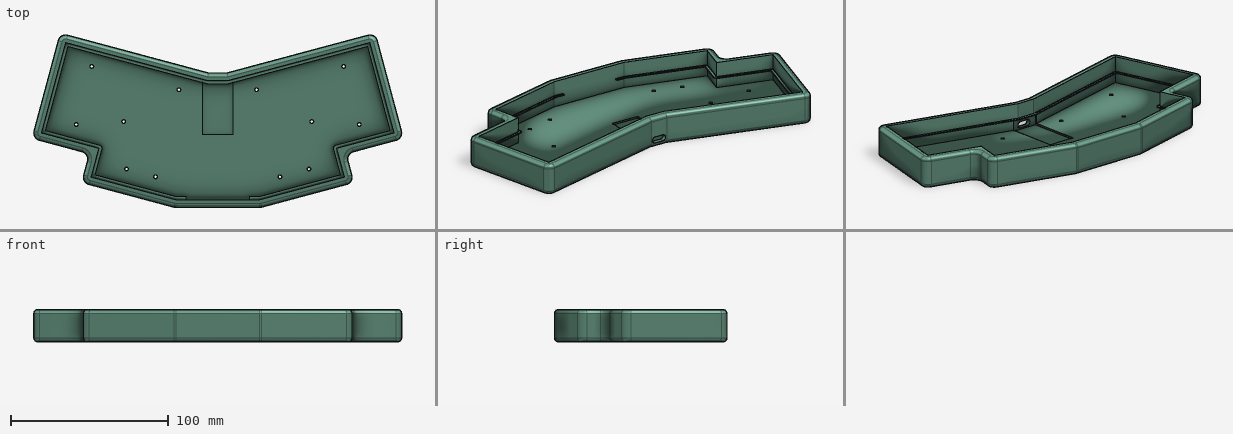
import cadquery as cq
import math

LENGTH = 233.5
DEPTH = 109.5
HEIGHT = 20.5
WING_ANGLE = 15.0
WALL = 5.0
NOTCH_RADIUS = 5.0
EDGE_RADIUS = 2.5
FLOOR_Z = 3.0

LIP_DEPTH = 2.0
LIP_THICKNESS = 0.5
LIP_TOP_Z = 10.7
LIP_GAP_WIDTH = 40.1

COS = math.cos(math.radians(WING_ANGLE))
SIN = math.sin(math.radians(WING_ANGLE))
WING_BACK = 23.0
WING_SHOULDER = -36.2
WING_FRONT = -55.0
NOTCH_SIDE = -68.4
WING_END = -(LENGTH / 2 - WALL + WING_SHOULDER * SIN) / COS

CENTRE_BACK_Y = 25.7
CENTRE_FRONT_Y = WING_BACK * COS - WING_END * SIN + 2 * WALL - DEPTH

HOLE_DIAMETER = 2.2
HOLE_SPAN = 57.2
HOLE_PITCH = HOLE_SPAN / 3
FIRST_HOLE = (-86.1, 12.8)
HOLE_GRID = [(0, 0), (3, 0), (1.5, 1.5), (0, 2), (2, 3), (3, 3)]

BAY_WIDTH = 19.1
BAY_BACK_Y = 27.5
BAY_FRONT_Y = -8.6
BAY_FLOOR_Z = 1.9
BAY_TOP_Z = LIP_TOP_Z - LIP_THICKNESS

PORT_WIDTH = 10.0
PORT_HEIGHT = 4.2
PORT_Z = 5.0


def wing_point(along, across):
    """Point of the left wing in part axes."""
    return (along * COS + across * SIN, across * COS - along * SIN)


def centre_corner(across, y):
    """Where a wing line meets the straight centre line at height y."""
    return ((across - y * COS) / SIN, y)


def cavity_outline():
    left = [
        centre_corner(WING_BACK, CENTRE_BACK_Y),
        wing_point(WING_END, WING_BACK),
        wing_point(WING_END, WING_SHOULDER),
        wing_point(NOTCH_SIDE, WING_SHOULDER),
        wing_point(NOTCH_SIDE, WING_FRONT),
        centre_corner(WING_FRONT, CENTRE_FRONT_Y),
    ]
    right = [(-x, y) for x, y in reversed(left)]
    return cq.Workplane("XY").polyline(left + right).close()


def block(width, back_y, front_y, bottom_z, top_z):
    """Box centred on X = 0."""
    return cq.Workplane("XY").box(
        width, back_y - front_y, top_z - bottom_z, centered=(True, False, False)
    ).translate((0, front_y, bottom_z))


def outer_body():
    body = cavity_outline().offset2D(WALL, "arc").extrude(HEIGHT)
    notch_x, notch_y = wing_point(NOTCH_SIDE - WALL, WING_SHOULDER - WALL)
    for x in (notch_x, -notch_x):
        corner = cq.selectors.NearestToPointSelector((x, notch_y, HEIGHT / 2))
        body = body.edges("|Z").edges(corner).fillet(NOTCH_RADIUS)
    return body.faces("<Z or >Z").edges().fillet(EDGE_RADIUS)


def lip():
    bottom_z = LIP_TOP_Z - LIP_THICKNESS
    opening = cavity_outline().offset2D(-LIP_DEPTH, "arc").extrude(LIP_THICKNESS)
    ring = cavity_outline().extrude(LIP_THICKNESS).cut(opening).translate((0, 0, bottom_z))
    return ring.cut(block(LIP_GAP_WIDTH, 0, CENTRE_FRONT_Y, bottom_z, LIP_TOP_Z))


cavity = cavity_outline().extrude(HEIGHT - FLOOR_Z).translate((0, 0, FLOOR_Z))
bay = block(BAY_WIDTH, BAY_BACK_Y, BAY_FRONT_Y, BAY_FLOOR_Z, BAY_TOP_Z)

port = (
    cq.Workplane("XZ", origin=(0, CENTRE_BACK_Y + WALL, PORT_Z))
    .slot2D(PORT_WIDTH, PORT_HEIGHT)
    .extrude(CENTRE_BACK_Y + WALL)
)

screw_holes = (
    cq.Workplane("XY")
    .pushPoints([
        (side * x, y)
        for column, row in HOLE_GRID
        for x, y in [wing_point(FIRST_HOLE[0] + column * HOLE_PITCH, FIRST_HOLE[1] - row * HOLE_PITCH)]
        for side in (1, -1)
    ])
    .circle(HOLE_DIAMETER / 2)
    .extrude(HEIGHT)
)

result = outer_body().cut(cavity).cut(bay).cut(port).cut(screw_holes).union(lip())